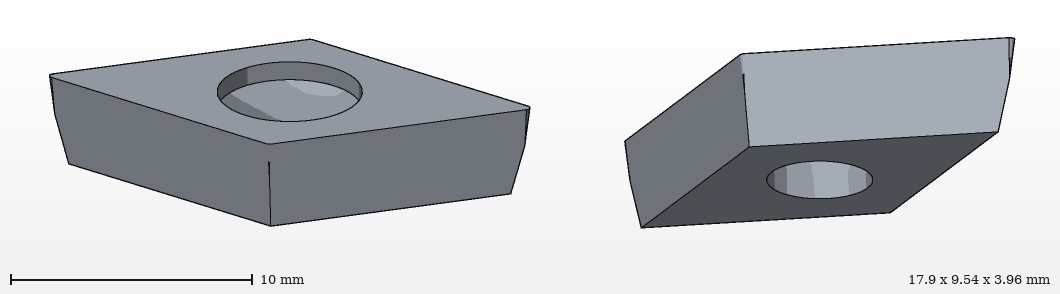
import cadquery as cq
import math

width = 9.54
thickness = 3.96
acute_angle = math.radians(55)
clearance_angle = 7
length = 17.93

seat_diameter = 6.0
seat_depth = 0.8
bore_diameter = 4.4
bore_start_depth = 2.82

sharp_length = width / math.sin(acute_angle) + width / math.tan(acute_angle)
pull_in = 1 / math.tan(acute_angle / 2) - 1
corner_radius = (sharp_length - length) / (2 * pull_in)


def rhombus_corners(half_width):
    """Corners, counter-clockwise, of a centred rhombus with two sides along X."""
    half_side = half_width / math.sin(acute_angle)
    shift = half_width / math.tan(acute_angle)
    return [
        (-half_side - shift, -half_width),
        (half_side - shift, -half_width),
        (half_side + shift, half_width),
        (-half_side + shift, half_width),
    ]


def tapered_body():
    """Insert with rounded top corners, each tapering to a point on its way down."""
    return (
        cq.Workplane("XY").polyline(rhombus_corners(width / 2)).close()
        .extrude(-thickness)
        .edges("|Z").fillet(corner_radius)
        .faces(">Z").wires().toPending()
        .extrude(-thickness, combine=False, taper=clearance_angle)
    )


def screw_hole():
    """Straight seat wall, then a convex funnel running tangent into the bore."""
    seat_radius = seat_diameter / 2
    bore_radius = bore_diameter / 2
    drop = bore_start_depth - seat_depth
    step = seat_radius - bore_radius
    funnel_radius = (drop**2 + step**2) / (2 * step)
    half_sweep = math.asin(drop / funnel_radius) / 2
    funnel_middle = (
        bore_radius + funnel_radius * (1 - math.cos(half_sweep)),
        -bore_start_depth + funnel_radius * math.sin(half_sweep),
    )
    return (
        cq.Workplane("XZ")
        .lineTo(seat_radius, 0)
        .lineTo(seat_radius, -seat_depth)
        .threePointArc(funnel_middle, (bore_radius, -bore_start_depth))
        .lineTo(bore_radius, -thickness)
        .lineTo(0, -thickness)
        .close()
        .revolve(360, (0, 0, 0), (0, 1, 0))
    )


result = tapered_body().cut(screw_hole())